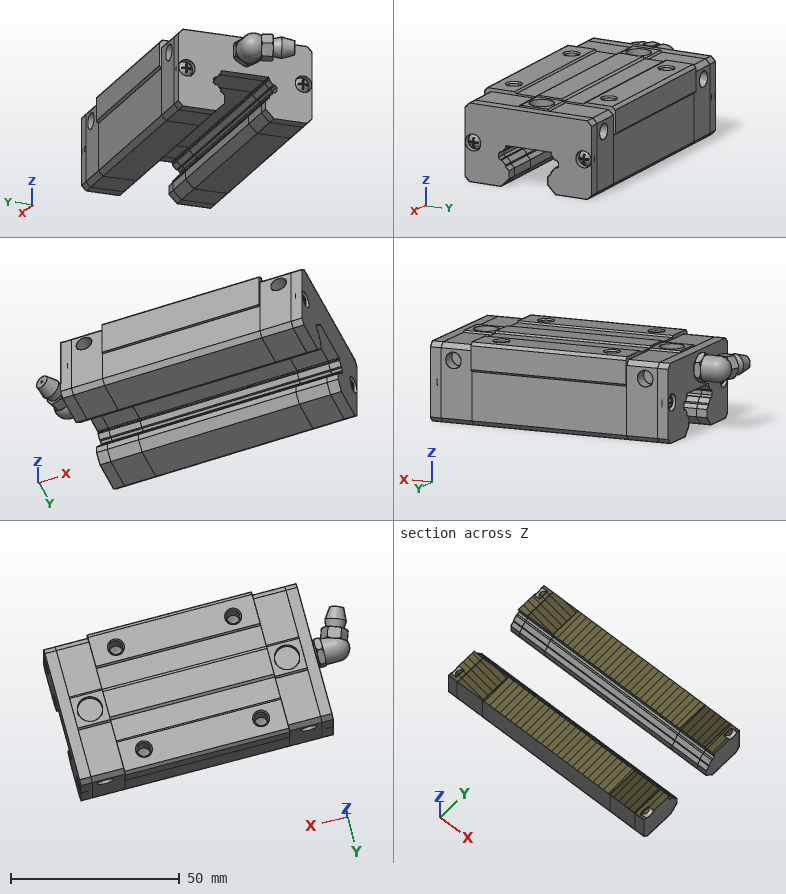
import cadquery as cq
import math


block_length = 50.5
cap_length = 10.0
seal_thickness = 3.5
cap_start = block_length / 2
seal_start = cap_start + cap_length
seal_face = seal_start + seal_thickness

body_width = 42.7
body_height = 24.3
body_chamfer = 1.5

block_width = 44.0
block_height = 25.4
block_chamfer = 1.0
groove_depth = 0.5
inner_groove_slope = 0.8
outer_groove_slope = 0.5
groove_inner = 4.0
groove_outer = 11.9
front_ledge_height = 12.35
back_ledge_height = 17.2

opening_half_profile = [
    (7.4, 12.9),
    (7.7, 12.6),
    (7.7, 12.1),
    (8.95, 10.65),
    (9.5, 10.65),
    (10.1, 10.0),
    (10.1, 8.9),
    (9.5, 8.2),
    (8.95, 8.2),
    (7.7, 6.8),
    (7.7, 6.35),
    (6.5, 5.2),
    (6.5, 2.7),
    (9.2, 0),
]

mount_spacing_x = 36.0
mount_spacing_y = 32.0
mount_radius = 2.1
mount_chamfer = 0.45
mount_depth = 8.0
drill_tip_angle = 118

pad_height = 0.5
pad_half_width = 4.65
pad_slope = 0.5
top_port_radius = 3.8
top_port_depth = 2.2
side_port_radius = 2.5
side_port_depth = 4.5
side_port_offset = 6.0
port_height = 19.3

screw_y = 18.6
screw_height = 12.3
head_radius = 2.6
counterbore_depth = 2.15
head_height = counterbore_depth
slot_length = 2.8
slot_width = 0.45
slot_depth = 0.7

neck_radius = 3.1
neck_length = 0.5
flange_flats = 8.0
flange_length = 2.1
flange_chamfer = 0.45
elbow_radius = 3.9
elbow_length = 4.1
outlet_tilt = 20
outlet_start_x = -44.4
outlet_hex_flats = 7.0
outlet_hex_start = 2.7
outlet_hex_end = 6.2
outlet_hex_chamfer = 0.4
tip_waist_radius = 2.7
tip_bulge_radius = 3.2
tip_bulge_at = 8.7
tip_end_radius = 2.15
tip_end = 12.6
tip_bore_radius = 0.4
tip_bore_depth = 1.8


def extrude_along_rail(points, start, length):
    return cq.Workplane("YZ").workplane(offset=start).polyline(points).close().extrude(length)


def body_bar(start, length):
    """Plain bar of the body cross-section with its four long edges chamfered."""
    bar = cq.Workplane("XY").box(length, body_width, body_height, centered=(False, True, False))
    return bar.edges("|X").chamfer(body_chamfer).translate((start, 0, 0))


def rail_opening():
    mirrored = [(-y, z) for y, z in reversed(opening_half_profile)]
    length = 2 * seal_face
    return extrude_along_rail(opening_half_profile + mirrored, -length / 2, length)


def cylinder_at(origin, direction, radius, length):
    cylinder = cq.Solid.makeCylinder(radius, length, cq.Vector(*origin), cq.Vector(*direction))
    return cq.Workplane(cylinder)


def mirrored_ends(left_body):
    """Body at the -X end and its mirror image at the +X end."""
    return [left_body, left_body.mirror("YZ")]


def block_outline():
    half_block = block_width / 2
    half_body = body_width / 2
    ledge = half_block - half_body
    floor = block_height - groove_depth
    shoulder = block_height - block_chamfer
    return [
        (body_chamfer - half_body, 0),
        (half_body - body_chamfer, 0),
        (half_body, body_chamfer),
        (half_body, back_ledge_height - ledge),
        (half_block, back_ledge_height),
        (half_block, shoulder),
        (half_block - block_chamfer, block_height),
        (groove_outer, block_height),
        (groove_outer - outer_groove_slope, floor),
        (groove_inner + inner_groove_slope, floor),
        (groove_inner, block_height),
        (-groove_inner, block_height),
        (-groove_inner - inner_groove_slope, floor),
        (outer_groove_slope - groove_outer, floor),
        (-groove_outer, block_height),
        (block_chamfer - half_block, block_height),
        (-half_block, shoulder),
        (-half_block, front_ledge_height),
        (-half_body, front_ledge_height),
        (-half_body, body_chamfer),
    ]


def mounting_hole():
    """Drilled hole with a countersunk mouth and a conical bottom, mouth at Z = 0."""
    tip_depth = mount_radius / math.tan(math.radians(drill_tip_angle / 2))
    profile = [
        (0, 0),
        (mount_radius + mount_chamfer, 0),
        (mount_radius, -mount_chamfer),
        (mount_radius, -mount_depth),
        (0, -mount_depth - tip_depth),
    ]
    return cq.Workplane("XZ").polyline(profile).close().revolve(360, (0, 0), (0, 1))


def make_block():
    block = extrude_along_rail(block_outline(), -block_length / 2, block_length).cut(rail_opening())
    for x in (-mount_spacing_x / 2, mount_spacing_x / 2):
        for y in (-mount_spacing_y / 2, mount_spacing_y / 2):
            block = block.cut(mounting_hole().translate((x, y, block_height)))
    return block


def make_cap():
    pad_top = body_height + pad_height
    pad_foot = pad_half_width + pad_slope
    pad_outline = [
        (-pad_foot, body_height),
        (pad_foot, body_height),
        (pad_half_width, pad_top),
        (-pad_half_width, pad_top),
    ]
    cap = body_bar(-seal_start, cap_length)
    cap = cap.union(extrude_along_rail(pad_outline, -seal_start, cap_length))
    cap = cap.cut(rail_opening())

    top_port_x = -cap_start - cap_length / 2
    cap = cap.cut(cylinder_at((top_port_x, 0, pad_top), (0, 0, -1), top_port_radius, top_port_depth))
    side_port_x = -cap_start - side_port_offset
    for side in (-1, 1):
        mouth = (side_port_x, side * body_width / 2, port_height)
        cap = cap.cut(cylinder_at(mouth, (0, -side, 0), side_port_radius, side_port_depth))
    return cap


def make_seal():
    seal = body_bar(-seal_face, seal_thickness).cut(rail_opening())
    for y in (-screw_y, screw_y):
        mouth = (-seal_face, y, screw_height)
        seal = seal.cut(cylinder_at(mouth, (1, 0, 0), head_radius, counterbore_depth))
    return seal


def make_screw(y):
    """Domed screw head with a cross recess, seated on the floor of its counterbore."""
    seat_x = counterbore_depth - seal_face
    dome_radius = (head_radius**2 + head_height**2) / (2 * head_height)
    crown_x = seat_x - head_height
    dome = cq.Workplane("XY").sphere(dome_radius).translate((crown_x + dome_radius, y, screw_height))
    head = cylinder_at((seat_x, y, screw_height), (-1, 0, 0), head_radius, head_height).intersect(dome)
    slot_center = (crown_x + slot_depth / 2, y, screw_height)
    for width, height in ((slot_length, slot_width), (slot_width, slot_length)):
        head = head.cut(cq.Workplane("XY").box(slot_depth, width, height).translate(slot_center))
    return head


def chamfered_hexagon(flats, length, chamfer):
    """Hexagon along Z with corners on X, its corners trimmed by a cone at both ends."""
    corner_diameter = flats / math.cos(math.radians(30))
    blank = cq.Workplane("XY").circle(corner_diameter / 2).extrude(length).faces("<Z or >Z").chamfer(chamfer)
    return cq.Workplane("XY").polygon(6, corner_diameter).extrude(length).intersect(blank)


def along_outlet(shape):
    """Move a shape built along Z onto the outlet axis."""
    level = shape.rotate((0, 0, 0), (1, 0, 0), 90)
    return level.rotate((0, 0, 0), (0, 0, 1), -outlet_tilt).translate((outlet_start_x, 0, port_height))


def make_inlet():
    """Neck, hexagonal flange and straight elbow arm, pointing from the seal face towards -X."""
    arm_start = neck_length + flange_length
    neck = cq.Workplane("XY").circle(neck_radius).extrude(arm_start)
    flange = chamfered_hexagon(flange_flats, flange_length, flange_chamfer)
    arm = cq.Workplane("XY").workplane(offset=arm_start).circle(elbow_radius).extrude(elbow_length)
    inlet = neck.union(flange.translate((0, 0, neck_length))).union(arm)
    return inlet.rotate((0, 0, 0), (0, 1, 0), -90).translate((-seal_face, 0, port_height))


def make_elbow_ball():
    """Round end of the elbow, flattened where the outlet hexagon sits on it."""
    center_x = -seal_face - neck_length - flange_length - elbow_length
    ball = cq.Workplane("XY").sphere(elbow_radius).translate((center_x, 0, port_height))
    trimming_radius = 2 * elbow_radius
    beyond_seat = cq.Workplane("XY").workplane(offset=outlet_hex_start).circle(trimming_radius)
    return ball.cut(along_outlet(beyond_seat.extrude(elbow_radius)))


def make_outlet():
    """Hexagon and turned tip with its grease bore."""
    hex_nut = chamfered_hexagon(outlet_hex_flats, outlet_hex_end - outlet_hex_start, outlet_hex_chamfer)
    bore_floor = tip_end - tip_bore_depth
    tip_profile = [
        (0, outlet_hex_end),
        (tip_waist_radius, outlet_hex_end),
        (tip_bulge_radius, tip_bulge_at),
        (tip_end_radius, tip_end),
        (tip_bore_radius, tip_end),
        (tip_bore_radius, bore_floor),
        (0, bore_floor),
    ]
    tip = cq.Workplane("XZ").polyline(tip_profile).close().revolve(360, (0, 0), (0, 1))
    return along_outlet(hex_nut.translate((0, 0, outlet_hex_start)).union(tip))


def make_nipple():
    return make_inlet().union(make_elbow_ball()).union(make_outlet())


block = make_block()
caps = mirrored_ends(make_cap())
seals = mirrored_ends(make_seal())
screws = []
for y in (-screw_y, screw_y):
    screws += mirrored_ends(make_screw(y))
nipple = make_nipple()

bodies = [block, *caps, *seals, *screws, nipple]
result = cq.Compound.makeCompound([body.val() for body in bodies])